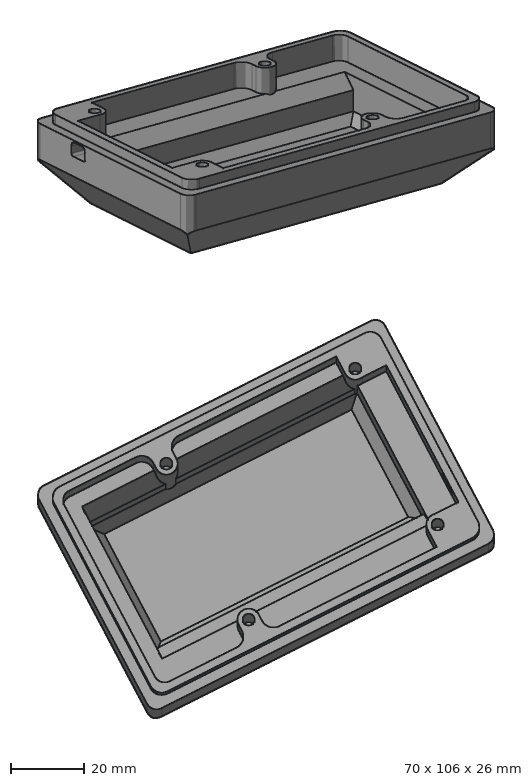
import cadquery as cq

length = 106.0
width = 70.0
height = 26.0
lip_height = 3.0
band_height = 10.6
taper_height = height - lip_height - band_height
base_width = 45.6
base_length = 85.1
corner_radius = 3.0
lip_inset = 2.9
lip_corner_radius = 3.4

wall_inset = 5.1
ledge_depth = 7.6
ledge_z = height - ledge_depth
cavity_half_width = width / 2 - wall_inset
cavity_back_y = length / 2 - wall_inset
cavity_corner_radius = 3.0

well_center_x = 2.0
well_width = 39.6
well_front_y = -39.1
well_back_y = 43.0
bevel = 4.0
well_wall_height = 6.3
floor_taper_height = 2.8
floor_inset_x = 3.0
floor_inset_y = 3.2

boss_x = 24.5
boss_back_y = 17.9
boss_front_y = -40.0
boss_radius = 3.1
boss_fillet = 3.5
pick_margin = 0.5
screw_hole_diameter = 3.3
screw_hole_depth = 10.6

recess_width = 42.9
port_x = -14.5
port_width = 6.1
port_height = 4.2
port_bottom_z = 18.2
port_top_radius = 1.4
port_bottom_radius = 0.7


def block(x_min, x_max, y_min, y_max, z_min, z_max):
    """Axis-aligned block between the given limits."""
    size = (x_max - x_min, y_max - y_min, z_max - z_min)
    return cq.Workplane("XY").box(*size, centered=False).translate((x_min, y_min, z_min))


def frustum(bottom_size, top_size, z_bottom, z_top):
    """Rectangular frustum centred on the Z axis."""
    return (
        cq.Workplane("XY").workplane(offset=z_bottom).rect(*bottom_size)
        .workplane(offset=z_top - z_bottom).rect(*top_size).loft(ruled=True)
    )


def outer_shell():
    column = cq.Workplane("XY").rect(width, length).extrude(height - lip_height)
    column = column.edges("|Z").fillet(corner_radius)
    taper = frustum((base_width, base_length), (width, length), 0, taper_height)
    band = cq.Workplane("XY").workplane(offset=taper_height).rect(width, length).extrude(band_height)
    lip = (
        cq.Workplane("XY").workplane(offset=height - lip_height)
        .rect(width - 2 * lip_inset, length - 2 * lip_inset).extrude(lip_height)
        .edges("|Z").fillet(lip_corner_radius)
    )
    return column.intersect(taper.union(band)).union(lip)


def boss_column(side, y):
    """Half-round column joined to the side wall, from the base to the lip top."""
    center_x = side * boss_x
    wall_x = side * width / 2
    web = block(
        min(center_x, wall_x), max(center_x, wall_x),
        y - boss_radius, y + boss_radius, 0, height,
    )
    post = cq.Workplane("XY").center(center_x, y).circle(boss_radius).extrude(height)
    return web.union(post)


def upper_cavity():
    """Pocket around the back bosses, ending in line with the front bosses."""
    cavity = block(
        -cavity_half_width, cavity_half_width,
        boss_front_y + boss_radius, cavity_back_y, ledge_z, height,
    )
    cavity = cavity.edges("|Z and >Y").fillet(cavity_corner_radius)
    for side in (-1, 1):
        cavity = cavity.cut(boss_column(side, boss_back_y))
        wall_x = side * cavity_half_width
        for direction in (-1, 1):
            corner_y = boss_back_y + direction * boss_radius
            selector = cq.selectors.BoxSelector(
                (wall_x - pick_margin, corner_y - pick_margin, ledge_z - pick_margin),
                (wall_x + pick_margin, corner_y + pick_margin, height + pick_margin),
            )
            cavity = cavity.edges("|Z").edges(selector).fillet(boss_fillet)
    return cavity


def well():
    """Bevelled, straight and tapered stages stacked below the ledge."""
    well_length = well_back_y - well_front_y
    well_center_y = (well_back_y + well_front_y) / 2
    wall_top_z = ledge_z - bevel
    wall_bottom_z = wall_top_z - well_wall_height
    floor_z = wall_bottom_z - floor_taper_height
    top_size = (well_width + 2 * bevel, well_length)
    wall_size = (well_width, well_length)
    floor_size = (well_width - 2 * floor_inset_x, well_length - 2 * floor_inset_y)
    stages = (
        frustum(floor_size, wall_size, floor_z, wall_bottom_z)
        .union(frustum(wall_size, wall_size, wall_bottom_z, wall_top_z))
        .union(frustum(wall_size, top_size, wall_top_z, ledge_z))
        .translate((well_center_x, well_center_y, 0))
    )
    for side in (-1, 1):
        for y in (boss_front_y, boss_back_y):
            stages = stages.cut(boss_column(side, y))
    return stages


def front_recess():
    """Shallow recess between the front bosses, joined to the upper cavity."""
    recess = block(
        -recess_width / 2, recess_width / 2,
        -cavity_back_y, boss_front_y + boss_radius, ledge_z, height,
    )
    for side in (-1, 1):
        post = cq.Workplane("XY").center(side * boss_x, boss_front_y).circle(boss_radius).extrude(height)
        recess = recess.cut(post)
        shoulder = block(
            min(side * boss_x, side * recess_width / 2), max(side * boss_x, side * recess_width / 2),
            boss_front_y, boss_front_y + boss_radius, ledge_z, height,
        )
        recess = recess.union(shoulder.cut(post))
    return recess


def port():
    opening = block(
        port_x - port_width / 2, port_x + port_width / 2,
        -length / 2, -cavity_back_y, port_bottom_z, port_bottom_z + port_height,
    )
    opening = opening.edges("|Y and >Z").fillet(port_top_radius)
    return opening.edges("|Y and <Z").fillet(port_bottom_radius)


def screw_holes():
    centers = [(side * boss_x, y) for side in (-1, 1) for y in (boss_front_y, boss_back_y)]
    return (
        cq.Workplane("XY").workplane(offset=height).pushPoints(centers)
        .circle(screw_hole_diameter / 2).extrude(-screw_hole_depth)
    )


result = outer_shell()
for pocket in (upper_cavity(), well(), front_recess(), port(), screw_holes()):
    result = result.cut(pocket)